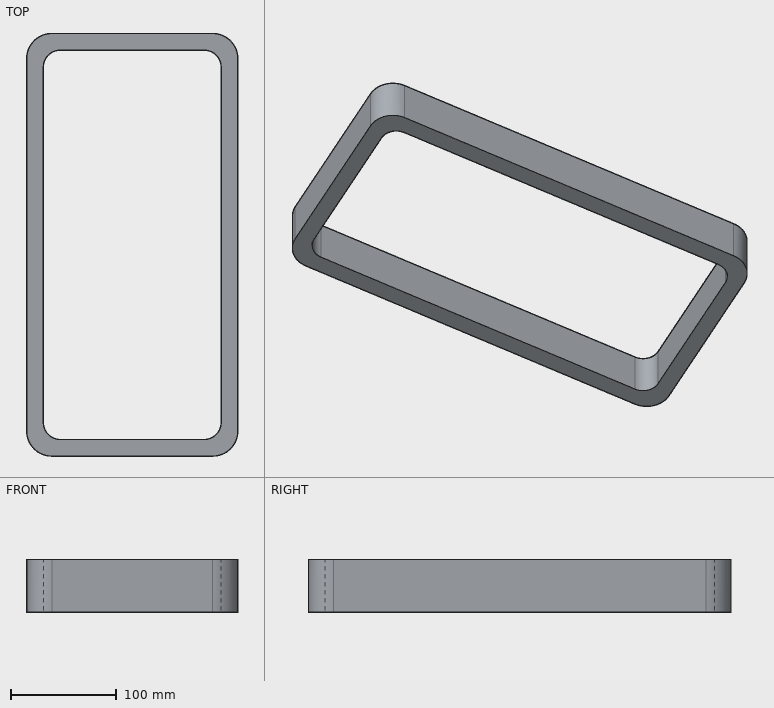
import cadquery as cq

width = 200.0
length = 400.0
height = 50.0

wall = 16.0
outer_radius = 24.0
inner_radius = 16.0


def rounded_block(size_x, size_y, corner_radius):
    """Full-height block with rounded vertical edges, centred on the origin."""
    block = cq.Workplane("XY").box(size_x, size_y, height)
    return block.edges("|Z").fillet(corner_radius)


outer_block = rounded_block(width, length, outer_radius)
opening = rounded_block(width - 2 * wall, length - 2 * wall, inner_radius)

result = outer_block.cut(opening)